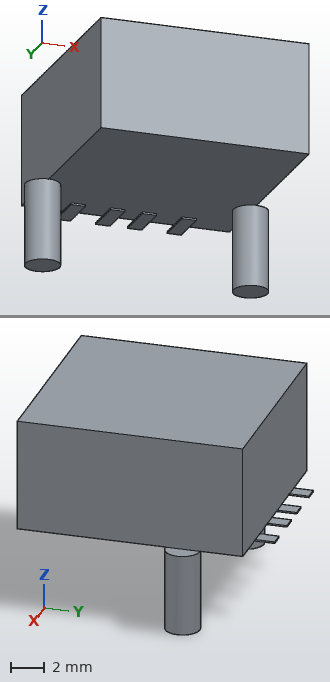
import cadquery as cq

HOUSING_WIDTH = 13.13
HOUSING_DEPTH = 14.0
HOUSING_HEIGHT = 7.0

PEG_DIAMETER = 2.15
PEG_LENGTH = 5.1
PEG_SETBACK = 3.73
PEG_SPACING = HOUSING_WIDTH

CONTACT_WIDTH = 0.9
CONTACT_LENGTH = 2.66
CONTACT_THICKNESS = 0.1
CONTACT_OVERHANG = 1.19
INNER_CONTACT_SPACING = 2.0
OUTER_CONTACT_SPACING = 7.0


def make_housing():
    """Block that extends forward (-Y) and up from the origin."""
    return cq.Workplane("XY").box(
        HOUSING_WIDTH, HOUSING_DEPTH, HOUSING_HEIGHT, centered=(True, True, False)
    ).translate((0, -HOUSING_DEPTH / 2, 0))


def make_peg(x):
    """Round peg that hangs from the plane of the housing underside."""
    return (
        cq.Workplane("XY")
        .center(x, -PEG_SETBACK)
        .circle(PEG_DIAMETER / 2)
        .extrude(-PEG_LENGTH)
    )


def make_contact(x):
    """Flat strip against the housing underside, reaching past the rear face."""
    return (
        cq.Workplane("XY")
        .center(x, CONTACT_OVERHANG - CONTACT_LENGTH / 2)
        .rect(CONTACT_WIDTH, CONTACT_LENGTH)
        .extrude(-CONTACT_THICKNESS)
    )


housing = make_housing()
pegs = [make_peg(side * PEG_SPACING / 2) for side in (-1, 1)]
contacts = [
    make_contact(side * spacing / 2)
    for spacing in (INNER_CONTACT_SPACING, OUTER_CONTACT_SPACING)
    for side in (-1, 1)
]

result = cq.Compound.makeCompound(
    [
        housing.val(),
        *[peg.val() for peg in pegs],
        *[contact.val() for contact in contacts],
    ]
)